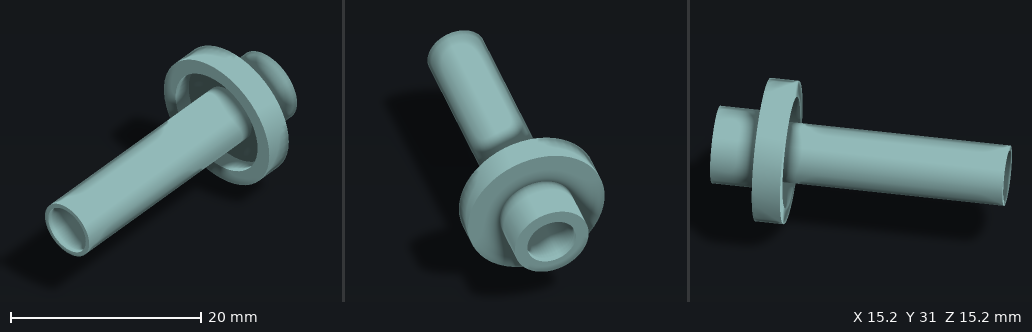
import cadquery as cq

total_length = 31.0
hub_length = 5.0
flange_thickness = 3.0
recess_depth = 2.0

bore_diameter = 5.4
tube_diameter = 6.4
hub_diameter = 8.2
recess_diameter = 11.8
flange_diameter = 15.2

flange_front = total_length - hub_length - flange_thickness
flange_back = flange_front + flange_thickness
recess_floor = flange_front + recess_depth


def cylinder(diameter, y_start, y_end):
    """Cylinder about the Y axis between two stations."""
    base = cq.Workplane("XZ", origin=(0, y_start, 0))
    return base.circle(diameter / 2).extrude(y_start - y_end)


flange = cylinder(flange_diameter, flange_front, flange_back)
flange = flange.cut(cylinder(recess_diameter, flange_front, recess_floor))

tube = cylinder(tube_diameter, 0, flange_back)
hub = cylinder(hub_diameter, flange_back, total_length)

bore = cylinder(bore_diameter, 0, total_length)

result = flange.union(tube).union(hub).cut(bore)